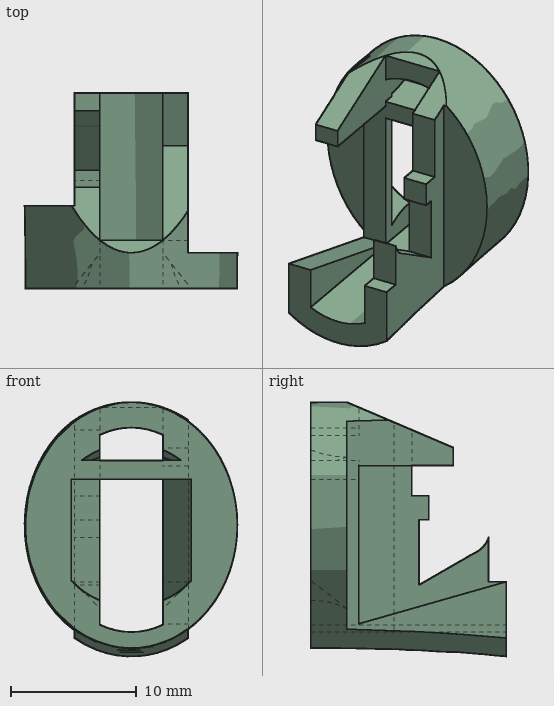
import cadquery as cq

TOTAL_DEPTH = 15.6

COLLAR_HALF_WIDTH = 8.44
COLLAR_HALF_HEIGHT = 9.785
END_FLARE_WIDTH = 0.4
END_FLARE_HEIGHT = 0.68
LEFT_COLLAR_DEPTH = 6.61
RIGHT_COLLAR_DEPTH = 2.87
ARM_HALF_WIDTH = 4.53

ARM_TIP_DEPTH = 11.38
ARM_TIP_TOP = 6.18
UPPER_ARM_UNDERSIDE = 4.74

SLOT_HALF_WIDTH = 2.5
PLATE_DEPTH = 3.85
SLOT_TOP = 7.76
SLOT_BOTTOM = -8.5
SLOT_ARC_SAG = 0.58

POCKET_RADIUS = 6.5
POCKET_WAIST_DEPTH = 1.25
POCKET_WAIST_ROOF_DROP = 0.36
POCKET_WAIST_FLOOR_DROP = 0.08
POCKET_END_ROOF_DROP = 0.58
POCKET_END_FLOOR_DROP = 0.64
POCKET_HALF_WIDTH = 4.77
POCKET_DEPTH = 2.87
BAR_TOP = 5.17
BAR_BOTTOM = 3.65

RAMP_START = -7.85
TAIL_STEP = -4.5

LEFT_ARM_DEPTH = 8.07
TOOTH_TOP = 2.36
TOOTH_BOTTOM = 0.42
TOOTH_DEPTH = 9.42
MOUTH_DEPTH = 8.64
MOUTH_BOTTOM = -4.75
JAW_BEND = (12.96, -2.26)
JAW_CURVE_MIDDLE = (13.76, -1.69)
JAW_TIP = (14.19, -0.95)

CUT_END = TOTAL_DEPTH + 1.0
FAR = 12.0


def block(x_range, y_range, z_range):
    """Rectangular block filling the given X, Y and Z ranges."""
    sizes = [high - low for low, high in (x_range, y_range, z_range)]
    corner = (x_range[0], y_range[0], z_range[0])
    return cq.Workplane("XY").box(*sizes, centered=False).translate(corner)


def side_prism(sketch, x_start, x_end):
    """Extrude a closed outline drawn in (Y, Z) between two X positions."""
    return sketch.close().extrude(x_end - x_start).translate((x_start, 0, 0))


def outer_half_sizes(depth):
    """Half width and half height of the outside ellipse at a distance behind the front face."""
    growth = (depth / TOTAL_DEPTH) ** 2
    half_width = COLLAR_HALF_WIDTH + END_FLARE_WIDTH * growth
    half_height = COLLAR_HALF_HEIGHT + END_FLARE_HEIGHT * growth
    return half_width, half_height


def outer_body():
    depths = (0, TOTAL_DEPTH / 2, TOTAL_DEPTH)
    body = cq.Workplane("XZ")
    previous = 0
    for depth in depths:
        body = body.workplane(offset=previous - depth).ellipse(*outer_half_sizes(depth))
        previous = depth
    return body.loft()


def above_slope():
    crest = outer_half_sizes(RIGHT_COLLAR_DEPTH)[1]
    slope = (crest - ARM_TIP_TOP) / (ARM_TIP_DEPTH - RIGHT_COLLAR_DEPTH)
    end_height = crest - slope * (CUT_END - RIGHT_COLLAR_DEPTH)
    sketch = (
        cq.Workplane("YZ")
        .moveTo(RIGHT_COLLAR_DEPTH, crest)
        .lineTo(CUT_END, end_height)
        .lineTo(CUT_END, FAR)
        .lineTo(RIGHT_COLLAR_DEPTH, FAR)
    )
    return side_prism(sketch, -FAR, FAR)


def slot():
    sketch = (
        cq.Workplane("XZ")
        .moveTo(-SLOT_HALF_WIDTH, SLOT_BOTTOM + SLOT_ARC_SAG)
        .threePointArc((0, SLOT_BOTTOM), (SLOT_HALF_WIDTH, SLOT_BOTTOM + SLOT_ARC_SAG))
        .lineTo(SLOT_HALF_WIDTH, SLOT_TOP - SLOT_ARC_SAG)
        .threePointArc((0, SLOT_TOP), (-SLOT_HALF_WIDTH, SLOT_TOP - SLOT_ARC_SAG))
        .close()
    )
    through = sketch.extrude(-TOTAL_DEPTH)
    open_top = block((-SLOT_HALF_WIDTH, SLOT_HALF_WIDTH), (PLATE_DEPTH, TOTAL_DEPTH), (0, FAR))
    return through.union(open_top)


def crossbar():
    return block((-POCKET_HALF_WIDTH, POCKET_HALF_WIDTH), (0, PLATE_DEPTH), (BAR_BOTTOM, BAR_TOP))


def pocket_ring(depth, roof_drop, floor_drop):
    """Circle touching the roof and the floor of the bore at a distance behind the front face."""
    radius = POCKET_RADIUS - (roof_drop - floor_drop) / 2
    centre_height = -(roof_drop + floor_drop) / 2
    return cq.Wire.makeCircle(radius, cq.Vector(0, depth, centre_height), cq.Vector(0, 1, 0))


def pocket():
    rings = [
        pocket_ring(0, 0, 0),
        pocket_ring(POCKET_WAIST_DEPTH, POCKET_WAIST_ROOF_DROP, POCKET_WAIST_FLOOR_DROP),
        pocket_ring(POCKET_DEPTH, POCKET_END_ROOF_DROP, POCKET_END_FLOOR_DROP),
    ]
    bore = cq.Workplane(obj=cq.Solid.makeLoft(rings))
    funnel = (
        cq.Workplane("XY")
        .moveTo(-POCKET_HALF_WIDTH, 0)
        .lineTo(POCKET_HALF_WIDTH, 0)
        .lineTo(SLOT_HALF_WIDTH, POCKET_DEPTH)
        .lineTo(-SLOT_HALF_WIDTH, POCKET_DEPTH)
        .close()
        .extrude(FAR, both=True)
    )
    return bore.intersect(funnel)


def beside_arms():
    left = block((-FAR, -ARM_HALF_WIDTH), (LEFT_COLLAR_DEPTH, CUT_END), (-FAR, FAR))
    right = block((ARM_HALF_WIDTH, FAR), (RIGHT_COLLAR_DEPTH, CUT_END), (-FAR, FAR))
    return left.union(right)


def right_arm_gap():
    sketch = (
        cq.Workplane("YZ")
        .moveTo(PLATE_DEPTH, RAMP_START)
        .lineTo(TOTAL_DEPTH, TAIL_STEP)
        .lineTo(CUT_END, TAIL_STEP)
        .lineTo(CUT_END, FAR)
        .lineTo(ARM_TIP_DEPTH, FAR)
        .lineTo(ARM_TIP_DEPTH, UPPER_ARM_UNDERSIDE)
        .lineTo(PLATE_DEPTH, UPPER_ARM_UNDERSIDE)
    )
    return side_prism(sketch, 0, ARM_HALF_WIDTH)


def left_arm_gap():
    sketch = (
        cq.Workplane("YZ")
        .moveTo(LEFT_ARM_DEPTH, FAR)
        .lineTo(LEFT_ARM_DEPTH, TOOTH_TOP)
        .lineTo(TOOTH_DEPTH, TOOTH_TOP)
        .lineTo(TOOTH_DEPTH, TOOTH_BOTTOM)
        .lineTo(MOUTH_DEPTH, TOOTH_BOTTOM)
        .lineTo(MOUTH_DEPTH, MOUTH_BOTTOM)
        .lineTo(*JAW_BEND)
        .threePointArc(JAW_CURVE_MIDDLE, JAW_TIP)
        .lineTo(JAW_TIP[0], TAIL_STEP)
        .lineTo(CUT_END, TAIL_STEP)
        .lineTo(CUT_END, FAR)
    )
    return side_prism(sketch, -ARM_HALF_WIDTH, 0)


result = (
    outer_body()
    .cut(slot().union(pocket()).cut(crossbar()))
    .cut(above_slope())
    .cut(beside_arms())
    .cut(right_arm_gap())
    .cut(left_arm_gap())
)